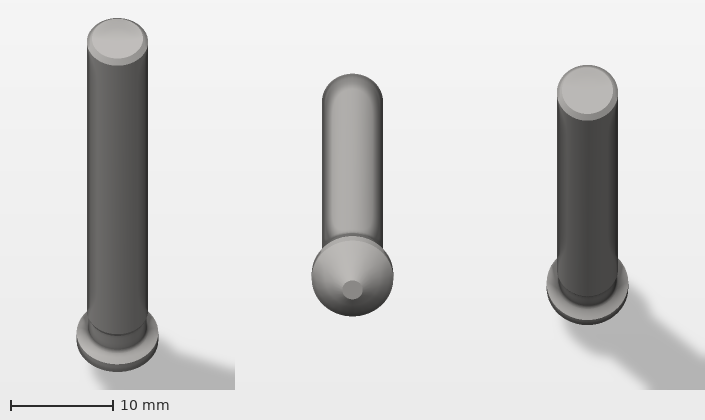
import cadquery as cq
import math

total_length = 50.0
head_top = 4.2
neck_top = 7.2
shank_bottom = 7.65

tip_radius = 1.0
head_radius = 4.0
neck_radius = 2.85
shank_radius = 3.0

end_chamfer = 0.5
neck_fillet = 0.4

back_angle = math.radians(30)
neck_bottom = head_top + (head_radius - neck_radius) * math.tan(back_angle)

cone_height = head_radius - tip_radius

half_section = [
    (0, 0),
    (tip_radius, 0),
    (head_radius, cone_height),
    (head_radius, head_top),
    (neck_radius, neck_bottom),
    (neck_radius, neck_top),
    (shank_radius, shank_bottom),
    (shank_radius, total_length - end_chamfer),
    (shank_radius - end_chamfer, total_length),
    (0, total_length),
]

body = cq.Workplane("XZ").polyline(half_section).close().revolve(360, (0, 0, 0), (0, 1, 0))

edge_search_margin = 0.05
neck_corner = cq.selectors.BoxSelector(
    (-head_radius, -head_radius, neck_bottom - edge_search_margin),
    (head_radius, head_radius, neck_bottom + edge_search_margin),
    boundingbox=True,
)
result = body.edges(neck_corner).fillet(neck_fillet)